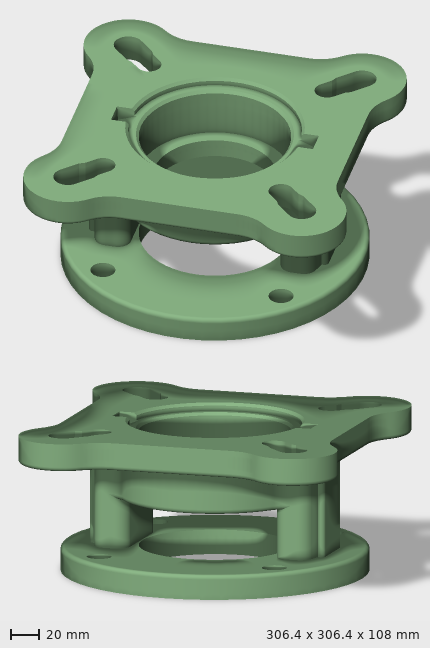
import cadquery as cq
import math

TOTAL_HEIGHT = 108.0
BASE_THICKNESS = 17.8
PLATE_THICKNESS = 20.0
CUP_BOTTOM = 53.5
PLATE_BOTTOM = TOTAL_HEIGHT - PLATE_THICKNESS

BASE_RADIUS = 110.0
BASE_HOLE_RADIUS = 54.2
BASE_EDGE_FILLET = 3.0

PLATE_HALF_SPAN = 153.2
LOBE_RADIUS = 32.0
LOBE_DISTANCE = PLATE_HALF_SPAN - LOBE_RADIUS
FLAT_DISTANCE = 101.5
PLATE_EDGE_FILLET = 3.0

BOLT_CIRCLE_RADIUS = 92.5
BOLT_HOLE_RADIUS = 9.0
SLOT_HALF_WIDTH = 10.5
TAPER_OUTER = 106.3
TAPER_INNER = 101.7

CUP_RADIUS = 69.5
CUP_EDGE_FILLET = 3.5
CUP_END_OVERLAP = 2.5
CUP_FLOOR = 67.0
BORE_RADIUS = 54.2
SHAFT_HOLE_RADIUS = 44.0
RECESS_RADIUS = 62.0
RECESS_DEPTH = 5.5
RIM_CHAMFER = 2.0

PILLAR_HALF_WIDTH = 35.0
PILLAR_INNER = 55.0
PILLAR_OUTER_RADIUS = 85.8
PILLAR_FILLET = 9.5
CUP_BLEND_RADIUS = 15.0
RIB_HALF_WIDTH = 20.0
RIB_OUTER = 88.0
RIB_FILLET = 3.0

NOTCH_OUTER = 74.0
NOTCH_INNER = 59.5
NOTCH_WIDTH = 17.2
NOTCH_DEPTH = 10.7
NOTCH_DRAFT = 1.0

QUARTER_TURNS = (0, 90, 180, 270)
PILLAR_ANGLES = (45, 225)


def about_z(solid, angle):
    return solid.rotate((0, 0, 0), (0, 0, 1), angle)


def turned(point, angle):
    """XY point turned about Z by an angle in degrees."""
    x, y = point
    cosine = math.cos(math.radians(angle))
    sine = math.sin(math.radians(angle))
    return x * cosine - y * sine, x * sine + y * cosine


def cylinder(radius, bottom, top):
    return cq.Workplane("XY").workplane(offset=bottom).circle(radius).extrude(top - bottom)


def make_base():
    return cylinder(BASE_RADIUS, 0, BASE_THICKNESS).faces(">Z").edges().fillet(BASE_EDGE_FILLET)


def make_plate():
    """Square plate with a round lobe on each axis, blended by arcs of the lobe radius."""
    across = FLAT_DISTANCE + LOBE_RADIUS
    lobe_along = LOBE_DISTANCE / math.sqrt(2)
    along = lobe_along - math.sqrt((2 * LOBE_RADIUS) ** 2 - (across - lobe_along) ** 2)

    def on_diagonal(u, v, radius=0, angle=0):
        """XY of a point given across (u) and along (v) the flat, offset by a polar step."""
        x = (u + v) / math.sqrt(2) + radius * math.cos(math.radians(angle))
        y = (u - v) / math.sqrt(2) + radius * math.sin(math.radians(angle))
        return x, y

    blend_x, blend_y = on_diagonal(across, along)
    lobe_joint = ((blend_x + LOBE_DISTANCE) / 2, blend_y / 2)
    joint_angle = math.degrees(math.atan2(lobe_joint[1] - blend_y, lobe_joint[0] - blend_x))
    flat_angle = 225
    blend_middle = on_diagonal(across, along, LOBE_RADIUS, (joint_angle % 360 + flat_angle) / 2)
    flat_end = on_diagonal(FLAT_DISTANCE, along)

    def mirrored(point):
        return point[0], -point[1]

    half_lobe = [flat_end, blend_middle, lobe_joint]
    lobe = [mirrored(point) for point in half_lobe] + [(PLATE_HALF_SPAN, 0)] + half_lobe[::-1]
    outline = cq.Workplane("XY").workplane(offset=PLATE_BOTTOM).moveTo(*mirrored(flat_end))
    for angle in QUARTER_TURNS:
        start, blend_in, joint_in, tip, joint_out, blend_out, end = [turned(point, angle) for point in lobe]
        if angle:
            outline = outline.lineTo(*start)
        outline = (
            outline.threePointArc(blend_in, joint_in)
            .threePointArc(tip, joint_out)
            .threePointArc(blend_out, end)
        )
    plate = outline.close().extrude(PLATE_THICKNESS)
    return plate.faces("<Z").edges().fillet(PLATE_EDGE_FILLET)


def make_cup():
    """Cup blended into both pillar sides, built with the pillars on the X axis."""
    blend_y = PILLAR_HALF_WIDTH + CUP_BLEND_RADIUS
    blend_x = math.sqrt((CUP_RADIUS + CUP_BLEND_RADIUS) ** 2 - blend_y ** 2)
    cup_share = CUP_RADIUS / (CUP_RADIUS + CUP_BLEND_RADIUS)
    joint_x = blend_x * cup_share
    joint_y = blend_y * cup_share
    middle_angle = (math.radians(-90) + math.atan2(-blend_y, -blend_x)) / 2
    middle_x = blend_x + CUP_BLEND_RADIUS * math.cos(middle_angle)
    middle_y = blend_y + CUP_BLEND_RADIUS * math.sin(middle_angle)
    end_x = blend_x + CUP_END_OVERLAP
    return (
        cq.Workplane("XY").workplane(offset=CUP_BOTTOM)
        .moveTo(end_x, -PILLAR_HALF_WIDTH)
        .lineTo(end_x, PILLAR_HALF_WIDTH)
        .lineTo(blend_x, PILLAR_HALF_WIDTH)
        .threePointArc((middle_x, middle_y), (joint_x, joint_y))
        .threePointArc((0, CUP_RADIUS), (-joint_x, joint_y))
        .threePointArc((-middle_x, middle_y), (-blend_x, PILLAR_HALF_WIDTH))
        .lineTo(-end_x, PILLAR_HALF_WIDTH)
        .lineTo(-end_x, -PILLAR_HALF_WIDTH)
        .lineTo(-blend_x, -PILLAR_HALF_WIDTH)
        .threePointArc((-middle_x, -middle_y), (-joint_x, -joint_y))
        .threePointArc((0, -CUP_RADIUS), (joint_x, -joint_y))
        .threePointArc((middle_x, -middle_y), (blend_x, -PILLAR_HALF_WIDTH))
        .close().extrude(PLATE_BOTTOM - CUP_BOTTOM)
        .faces("<Z").edges().fillet(CUP_EDGE_FILLET)
    )


def make_pillar():
    """Pillar on the +X axis: flat inside, round outside, with a flat rib down its back."""
    length = PLATE_BOTTOM - BASE_THICKNESS
    corner_x = math.sqrt(PILLAR_OUTER_RADIUS ** 2 - PILLAR_HALF_WIDTH ** 2)
    block = (
        cq.Workplane("XY").workplane(offset=BASE_THICKNESS)
        .moveTo(PILLAR_INNER, -PILLAR_HALF_WIDTH)
        .lineTo(corner_x, -PILLAR_HALF_WIDTH)
        .threePointArc((PILLAR_OUTER_RADIUS, 0), (corner_x, PILLAR_HALF_WIDTH))
        .lineTo(PILLAR_INNER, PILLAR_HALF_WIDTH)
        .close().extrude(length)
        .edges("|Z").fillet(PILLAR_FILLET)
    )
    rib = (
        cq.Workplane("XY")
        .box(RIB_OUTER - PILLAR_INNER, 2 * RIB_HALF_WIDTH, length, centered=(False, True, False))
        .edges("|Z and >X").fillet(RIB_FILLET)
        .translate((PILLAR_INNER, 0, BASE_THICKNESS))
    )
    return block.union(rib)


def make_slot():
    """Stepped slot on the +X axis: wide outside, tapering to the bolt hole width inside."""
    return (
        cq.Workplane("XY").workplane(offset=PLATE_BOTTOM)
        .moveTo(BOLT_CIRCLE_RADIUS, -BOLT_HOLE_RADIUS)
        .lineTo(TAPER_INNER, -BOLT_HOLE_RADIUS)
        .lineTo(TAPER_OUTER, -SLOT_HALF_WIDTH)
        .lineTo(LOBE_DISTANCE, -SLOT_HALF_WIDTH)
        .threePointArc((LOBE_DISTANCE + SLOT_HALF_WIDTH, 0), (LOBE_DISTANCE, SLOT_HALF_WIDTH))
        .lineTo(TAPER_OUTER, SLOT_HALF_WIDTH)
        .lineTo(TAPER_INNER, BOLT_HOLE_RADIUS)
        .lineTo(BOLT_CIRCLE_RADIUS, BOLT_HOLE_RADIUS)
        .threePointArc((BOLT_CIRCLE_RADIUS - BOLT_HOLE_RADIUS, 0), (BOLT_CIRCLE_RADIUS, -BOLT_HOLE_RADIUS))
        .close().extrude(PLATE_THICKNESS)
    )


def make_bolt_hole():
    return cylinder(BOLT_HOLE_RADIUS, 0, BASE_THICKNESS).translate((BOLT_CIRCLE_RADIUS, 0, 0))


def make_bore():
    """Revolved cutter: rim recess, bearing seat and shaft hole."""
    ledge = TOTAL_HEIGHT - RECESS_DEPTH
    return (
        cq.Workplane("XZ")
        .moveTo(0, CUP_BOTTOM)
        .lineTo(SHAFT_HOLE_RADIUS, CUP_BOTTOM)
        .lineTo(SHAFT_HOLE_RADIUS, CUP_FLOOR)
        .lineTo(BORE_RADIUS, CUP_FLOOR)
        .lineTo(BORE_RADIUS, ledge - RIM_CHAMFER)
        .lineTo(BORE_RADIUS + RIM_CHAMFER, ledge)
        .lineTo(RECESS_RADIUS, ledge)
        .lineTo(RECESS_RADIUS, TOTAL_HEIGHT - RIM_CHAMFER)
        .lineTo(RECESS_RADIUS + RIM_CHAMFER, TOTAL_HEIGHT)
        .lineTo(0, TOTAL_HEIGHT)
        .close().revolve(360, (0, 0, 0), (0, 1, 0))
    )


def make_notch():
    """Notch on the +X axis: drafted walls and a floor that deepens outward."""
    draft_angle = math.degrees(math.atan(NOTCH_DRAFT / NOTCH_DEPTH))
    pocket = (
        cq.Workplane("XY").workplane(offset=TOTAL_HEIGHT)
        .center(NOTCH_OUTER / 2, 0).rect(NOTCH_OUTER, NOTCH_WIDTH)
        .extrude(-NOTCH_DEPTH, taper=draft_angle)
    )
    profile = (
        cq.Workplane("XZ")
        .moveTo(NOTCH_INNER, TOTAL_HEIGHT)
        .lineTo(NOTCH_INNER, TOTAL_HEIGHT - RECESS_DEPTH)
        .lineTo(NOTCH_OUTER - NOTCH_DRAFT, TOTAL_HEIGHT - NOTCH_DEPTH)
        .lineTo(NOTCH_OUTER, TOTAL_HEIGHT)
        .close().extrude(NOTCH_WIDTH, both=True)
    )
    return pocket.intersect(profile)


result = make_base().union(make_plate()).union(about_z(make_cup(), PILLAR_ANGLES[0]))
for pillar_angle in PILLAR_ANGLES:
    result = result.union(about_z(make_pillar(), pillar_angle))

result = result.cut(cylinder(BASE_HOLE_RADIUS, 0, BASE_THICKNESS)).cut(make_bore())
for turn in QUARTER_TURNS:
    result = result.cut(about_z(make_slot(), turn)).cut(about_z(make_bolt_hole(), turn))
for pillar_angle in PILLAR_ANGLES:
    result = result.cut(about_z(make_notch(), pillar_angle))